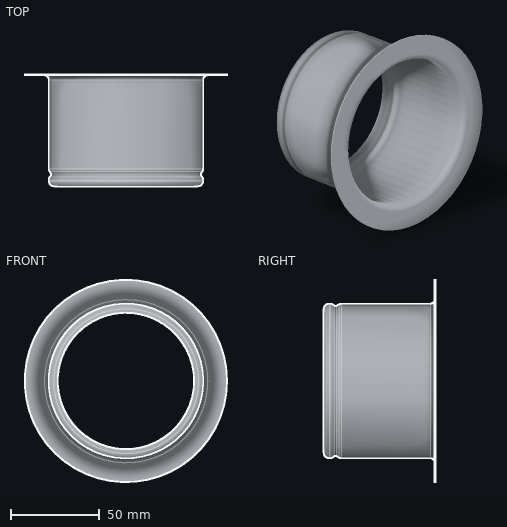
import cadquery as cq
import math

flange_radius = 57.0
length = 63.5
wall = 0.8
tube_radius = 43.6
mouth_radius = 38.4
flange_fillet = 2.4

bead_radius = 3.2
crest_length = 0.3
groove_radius = 1.0
groove_floor = 42.2
shoulder_radius = 2.7
slope_angle = math.radians(30)
lip_angle = math.radians(7)

flange_centre = (tube_radius + flange_fillet, -wall - flange_fillet)
lip_end_angle = lip_angle - math.pi / 2
lip_start_radius = tube_radius - bead_radius + bead_radius * math.sin(lip_angle)
lip_rise = (lip_start_radius - mouth_radius) * math.tan(lip_angle)
lip_centre = (tube_radius - bead_radius, -length + lip_rise + bead_radius * math.cos(lip_angle))
bead_centre = (lip_centre[0], lip_centre[1] + crest_length)

groove_centre_radius = groove_floor + groove_radius
bead_angle = math.acos((groove_centre_radius - bead_centre[0]) / (bead_radius + groove_radius))
groove_centre = (
    groove_centre_radius,
    bead_centre[1] + (bead_radius + groove_radius) * math.sin(bead_angle),
)

shoulder_centre_radius = tube_radius - shoulder_radius
radial_gap = groove_centre_radius - shoulder_centre_radius
slope_reach = shoulder_radius + groove_radius
slope_length = (slope_reach * math.cos(slope_angle) - radial_gap) / math.sin(slope_angle)
shoulder_centre = (
    shoulder_centre_radius,
    groove_centre[1] + slope_reach * math.sin(slope_angle) + slope_length * math.cos(slope_angle),
)


def on_arc(centre, radius, angle):
    """Point on an arc; zero angle points outward and positive angles turn toward +Y."""
    return (centre[0] + radius * math.cos(angle), centre[1] + radius * math.sin(angle))


def add_arc(path, centre, radius, start, end):
    """Run a straight wall to the arc start if needed, then follow the arc."""
    first = on_arc(centre, radius, start)
    if math.dist(first, path.val().endPoint().toTuple()[:2]) > 1.14e-06:
        path = path.lineTo(*first)
    middle = on_arc(centre, radius, (start + end) / 2)
    return path.threePointArc(middle, on_arc(centre, radius, end))


def wall_arcs(inset):
    """Arcs from flange to lip of the wall surface lying inset below the outer one."""
    bead = bead_radius - inset
    groove = groove_radius + inset
    return [
        (flange_centre, flange_fillet + inset, math.pi / 2, math.pi),
        (shoulder_centre, shoulder_radius - inset, 0, -slope_angle),
        (groove_centre, groove, math.pi - slope_angle, math.pi + bead_angle),
        (bead_centre, bead, bead_angle, 0),
        (lip_centre, bead, 0, lip_end_angle),
    ]


profile = cq.Workplane("XY").moveTo(flange_radius, 0).lineTo(flange_radius, -wall)
for centre, radius, start, end in wall_arcs(0):
    profile = add_arc(profile, centre, radius, start, end)
profile = profile.lineTo(mouth_radius, -length)
profile = profile.lineTo(
    mouth_radius - wall * math.sin(lip_angle),
    -length + wall * math.cos(lip_angle),
)
for centre, radius, start, end in reversed(wall_arcs(wall)):
    profile = add_arc(profile, centre, radius, end, start)

result = profile.close().revolve(360, (0, 0, 0), (0, 1, 0))